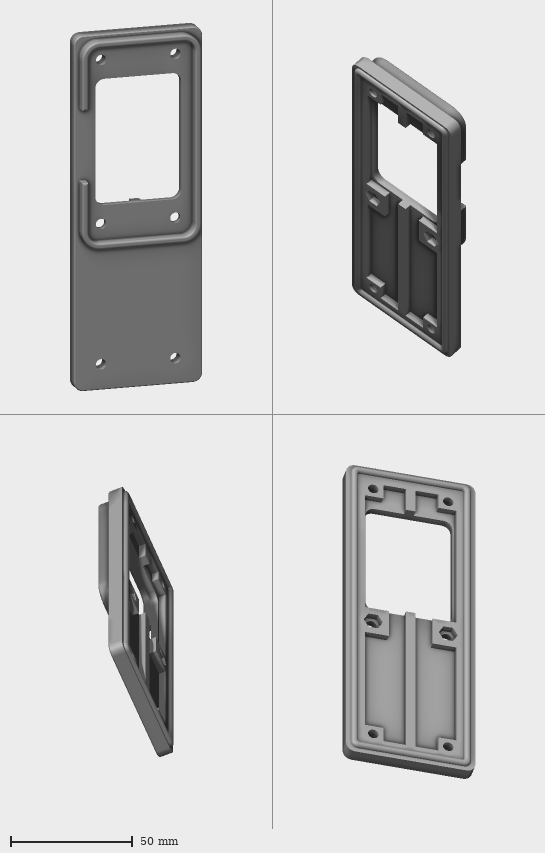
import cadquery as cq

LENGTH = 152.0
WIDTH = 55.0
DEPTH = 13.0

LIP_RADIUS = 1.5
LIP_INSET = 2.0
LIP_TOP_INSET = 1.0
LIP_OUTER_CORNER = 2.9
LIP_INNER_CORNER = 0.9

PLATE_THICKNESS = 6.1
PLATE_CORNER = 4.0
PLATE_CHAMFER = 0.5
PLATE_FRONT = LIP_RADIUS
PLATE_BACK = PLATE_FRONT + PLATE_THICKNESS
LIP_ROOT = PLATE_FRONT + PLATE_THICKNESS / 2

FRAME_WIDTH = 51.0
FRAME_LENGTH = 88.8
FRAME_CORNER = 7.6
FRAME_WALL = 2.6
FRAME_ROUNDING = 0.9
FRAME_NOTCH_LENGTH = 31.0

WINDOW_WIDTH = 37.0
WINDOW_LENGTH = 54.0
WINDOW_CORNER = 4.0
WINDOW_Z = 30.0

POCKET_DEPTH = 2.9
POCKET_WIDTH = 38.9
POCKET_LENGTH = 135.9
RIB_WIDTH = 4.1
END_PAD_LENGTH = 7.0
END_PAD_SPACING = 23.4
MIDDLE_PAD_LENGTH = 13.2
MIDDLE_PAD_SPACING = 18.7

HOLE_DIAMETER = 4.4
HOLE_Y = 16.0
END_HOLE_Z = 65.0
MIDDLE_HOLE_Z = -5.0
NUT_ACROSS_CORNERS = 8.0
NUT_DEPTH = 3.0


def block(x_start, x_end, width, length, z_centre=0.0, y_centre=0.0):
    """Box from x_start to x_end, centred at (y_centre, z_centre)."""
    return (
        cq.Workplane("YZ", origin=(x_start, y_centre, z_centre))
        .rect(width, length)
        .extrude(x_end - x_start)
    )


def rounded_block(x_start, x_end, width, length, corner, z_centre=0.0):
    """Box whose four edges along X are rounded."""
    return block(x_start, x_end, width, length, z_centre).edges("|X").fillet(corner)


def make_plate():
    plate = rounded_block(PLATE_FRONT, PLATE_BACK, WIDTH, LENGTH, PLATE_CORNER)
    return plate.faces(">X").edges().chamfer(PLATE_CHAMFER)


def make_lip():
    """Half-round ring: a block with a rounded rim, met along the crest by a hole with a rounded rim."""
    lip_width = WIDTH - 2 * LIP_INSET
    lip_length = LENGTH - LIP_TOP_INSET - LIP_INSET
    lip_z = (LIP_INSET - LIP_TOP_INSET) / 2
    section_width = 2 * LIP_RADIUS
    hole_width = lip_width - 2 * section_width
    hole_length = lip_length - 2 * section_width

    outside = rounded_block(0, LIP_ROOT, lip_width, lip_length, LIP_OUTER_CORNER, lip_z)
    outside = outside.faces("<X").edges().fillet(LIP_RADIUS)

    hole = rounded_block(0, LIP_ROOT, hole_width, hole_length, LIP_INNER_CORNER, lip_z)
    inside = block(0, LIP_ROOT, WIDTH, LENGTH, lip_z).cut(hole)
    hole_rim = inside.faces("<X").val().innerWires()[0]
    inside = inside.newObject(hole_rim.Edges()).fillet(LIP_RADIUS)
    return outside.intersect(inside)


def make_frame():
    outer = rounded_block(PLATE_BACK, DEPTH, FRAME_WIDTH, FRAME_LENGTH, FRAME_CORNER, WINDOW_Z)
    cavity = rounded_block(
        PLATE_BACK,
        DEPTH,
        FRAME_WIDTH - 2 * FRAME_WALL,
        FRAME_LENGTH - 2 * FRAME_WALL,
        FRAME_CORNER - FRAME_WALL,
        WINDOW_Z,
    )
    notch_y = (FRAME_WALL - FRAME_WIDTH) / 2
    notch = block(PLATE_BACK, DEPTH, FRAME_WALL, FRAME_NOTCH_LENGTH, WINDOW_Z, notch_y)
    return outer.cut(cavity).cut(notch).faces(">X").edges().fillet(FRAME_ROUNDING)


def make_pocket():
    floor = PLATE_FRONT + POCKET_DEPTH
    pocket = block(PLATE_FRONT, floor, POCKET_WIDTH, POCKET_LENGTH)
    pocket = pocket.cut(block(PLATE_FRONT, floor, RIB_WIDTH, POCKET_LENGTH))
    end_pad_width = (POCKET_WIDTH - END_PAD_SPACING) / 2
    end_pad_z = (POCKET_LENGTH - END_PAD_LENGTH) / 2
    middle_pad_width = (POCKET_WIDTH - MIDDLE_PAD_SPACING) / 2
    for side in (-1, 1):
        end_pad_y = side * (POCKET_WIDTH - end_pad_width) / 2
        for z in (-end_pad_z, end_pad_z):
            pocket = pocket.cut(block(PLATE_FRONT, floor, end_pad_width, END_PAD_LENGTH, z, end_pad_y))
        middle_pad_y = side * (POCKET_WIDTH - middle_pad_width) / 2
        pocket = pocket.cut(
            block(PLATE_FRONT, floor, middle_pad_width, MIDDLE_PAD_LENGTH, MIDDLE_HOLE_Z, middle_pad_y)
        )
    return pocket


def make_window():
    return rounded_block(PLATE_FRONT, PLATE_BACK, WINDOW_WIDTH, WINDOW_LENGTH, WINDOW_CORNER, WINDOW_Z)


def make_screw_holes():
    front = cq.Workplane("YZ", origin=(PLATE_FRONT, 0, 0))
    middle_points = [(y, MIDDLE_HOLE_Z) for y in (-HOLE_Y, HOLE_Y)]
    end_points = [(y, z) for y in (-HOLE_Y, HOLE_Y) for z in (-END_HOLE_Z, END_HOLE_Z)]
    holes = front.pushPoints(middle_points + end_points).circle(HOLE_DIAMETER / 2).extrude(PLATE_THICKNESS)
    nuts = front.pushPoints(middle_points).polygon(6, NUT_ACROSS_CORNERS).extrude(NUT_DEPTH)
    return holes.union(nuts)


result = (
    make_plate()
    .union(make_lip())
    .union(make_frame())
    .cut(make_pocket())
    .cut(make_window())
    .cut(make_screw_holes())
)